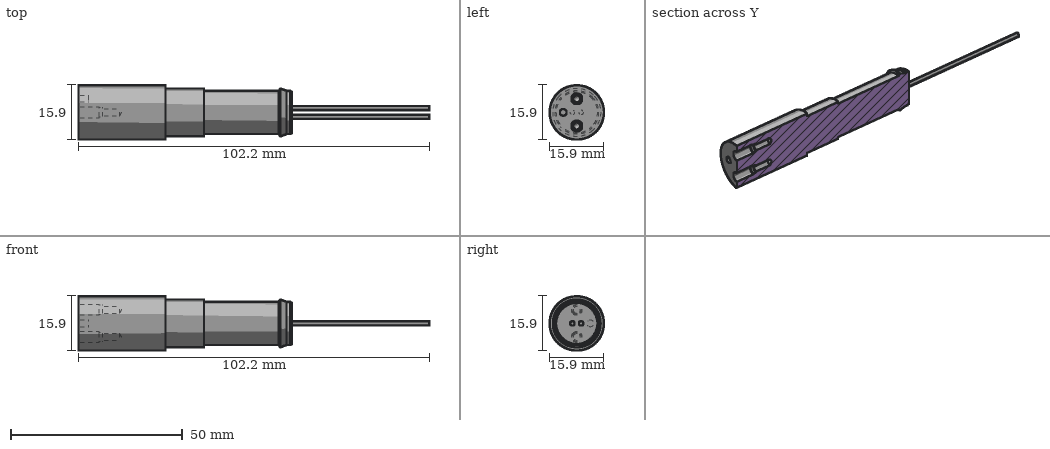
import cadquery as cq
import math

front_dia = 15.88
front_length = 25.4
collar_dia = 13.97
collar_end_x = 36.6
barrel_dia = 12.7
shell_length = 62.17

ridge_dia = 13.97
ridge_start_x = 58.35
ridge_crest_x = 58.85
ridge_end_x = 60.6
rear_chamfer_length = 0.55
rear_chamfer_height = 0.35

socket_pitch = 7.92
socket_entry_dia = 3.17
socket_entry_depth = 6.0
socket_step_dia = 2.74
socket_step_depth = 7.0
socket_bore_dia = 2.04
socket_bore_depth = 12.0
socket_tip_angle = 118.0

key_hole_dia = 1.98
key_hole_y = 3.97
key_hole_depth = 3.0

wire_dia = 1.32
wire_pitch = 2.54
wire_length = 40.0


def make_shell():
    front_r = front_dia / 2
    collar_r = collar_dia / 2
    barrel_r = barrel_dia / 2
    ridge_r = ridge_dia / 2
    profile = [
        (0, 0),
        (0, front_r),
        (front_length, front_r),
        (front_length, collar_r),
        (collar_end_x, collar_r),
        (collar_end_x, barrel_r),
        (ridge_start_x, barrel_r),
        (ridge_crest_x, ridge_r),
        (ridge_end_x, barrel_r),
        (shell_length - rear_chamfer_length, barrel_r),
        (shell_length, barrel_r - rear_chamfer_height),
        (shell_length, 0),
    ]
    return cq.Workplane("XY").polyline(profile).close().revolve(360, (0, 0, 0), (1, 0, 0))


def make_socket_cutter(z):
    entry_r = socket_entry_dia / 2
    step_r = socket_step_dia / 2
    bore_r = socket_bore_dia / 2
    tip_length = bore_r / math.tan(math.radians(socket_tip_angle / 2))
    profile = [
        (0, 0),
        (0, entry_r),
        (socket_entry_depth, entry_r),
        (socket_entry_depth, step_r),
        (socket_step_depth, step_r),
        (socket_step_depth, bore_r),
        (socket_bore_depth, bore_r),
        (socket_bore_depth + tip_length, 0),
    ]
    cutter = cq.Workplane("XY").polyline(profile).close().revolve(360, (0, 0, 0), (1, 0, 0))
    return cutter.translate((0, 0, z))


def rod_along_x(dia, length, x, y):
    return cq.Workplane("YZ", origin=(x, y, 0)).circle(dia / 2).extrude(length)


result = make_shell()
result = result.cut(rod_along_x(key_hole_dia, key_hole_depth, 0, key_hole_y))
for side in (-1, 1):
    result = result.cut(make_socket_cutter(side * socket_pitch / 2))
    result = result.union(rod_along_x(wire_dia, wire_length, shell_length, side * wire_pitch / 2))